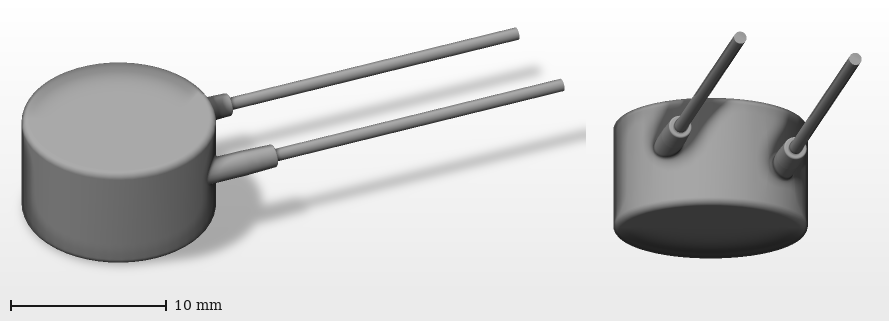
import cadquery as cq

body_diameter = 12.5
body_height = 7.2
body_edge_radius = 0.43
body_radius = body_diameter / 2

overall_length = 35.5
lead_offset_x = 3.75
lead_offset_z = 0.5
lead_end_y = overall_length - body_radius
wire_diameter = 0.8

sleeve_root_radius = 0.8
sleeve_tip_radius = 0.75
sleeve_tip_edge_radius = 0.1
sleeve_root_fillet = 0.15
sleeve_taper_start_y = 7.1
sleeve_end_y = 9.23
sleeve_start_y = 2.85


def make_body():
    """Cylinder with rounded top and bottom rims."""
    cylinder = cq.Workplane("XY").workplane(offset=-body_height / 2).circle(body_radius).extrude(body_height)
    return cylinder.edges("%CIRCLE").fillet(body_edge_radius)


def make_lead(x, z):
    """Sleeve and wire, revolved about the lead's own axis parallel to Y."""
    sleeve = (
        cq.Workplane("XY")
        .moveTo(0, sleeve_start_y)
        .lineTo(sleeve_root_radius, sleeve_start_y)
        .lineTo(sleeve_root_radius, sleeve_taper_start_y)
        .lineTo(sleeve_tip_radius, sleeve_end_y)
        .lineTo(0, sleeve_end_y)
        .close()
        .revolve(360, (0, 0, 0), (0, 1, 0))
        .faces(">Y")
        .edges()
        .fillet(sleeve_tip_edge_radius)
    )
    wire = (
        cq.Workplane("XZ", origin=(0, sleeve_start_y, 0))
        .circle(wire_diameter / 2)
        .extrude(sleeve_start_y - lead_end_y)
    )
    return sleeve.union(wire).translate((x, 0, z))


def blend_sleeve_roots(part):
    """Fillet the seams where the sleeves enter the curved side of the body."""
    seam_zone = cq.selectors.BoxSelector(
        (-body_radius, sleeve_start_y, -body_height / 4),
        (body_radius, body_radius, body_height / 4),
        boundingbox=True,
    )
    return part.edges(seam_zone).fillet(sleeve_root_fillet)


part = make_body()
for side in (-1, 1):
    part = part.union(make_lead(side * lead_offset_x, side * lead_offset_z))
result = blend_sleeve_roots(part)